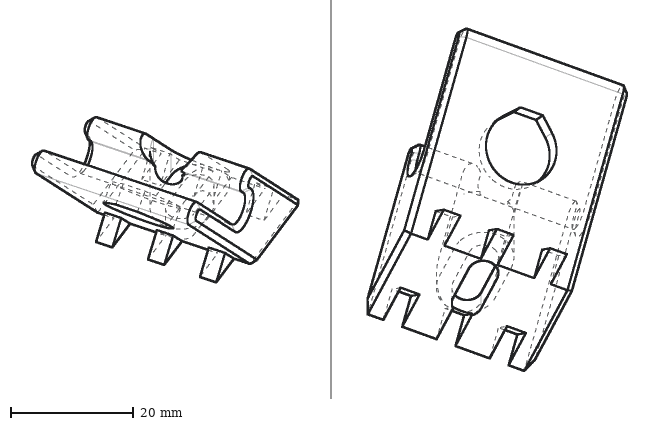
import cadquery as cq
import math

WIDTH = 30.0
LENGTH = 40.5
HEIGHT = 30.0
LEAN = 50.0
EDGE_CHAMFER = 1.0

END_RADIUS = 2.0
CHANNEL_RADIUS = 2.75
CHANNEL_END = 26.5
LIP_STRAIGHT = 1.25

FOOT_SPACING = 9.5
FOOT_WIDTH = 3.0
FOOT_BASE = 6.52
SOCKET_WIDTH = 3.35
SOCKET_BASE = 7.05

SLOT_WIDTH = 5.02
SLOT_TRAVEL = 6.5
SLOT_FROM_BACK = 11.83
RECESS_WIDTH = 10.1
RECESS_FLOOR = 4.58

POCKET_RADIUS = 6.08
POCKET_ROOF = 6.6
POCKET_DEPTH = 3.6
POCKET_HEIGHT = 15.47

BACK = LENGTH / 2
COS = math.cos(math.radians(LEAN))
SIN = math.sin(math.radians(LEAN))
TAN = SIN / COS

tip_y = LENGTH - END_RADIUS
tip_z = HEIGHT - END_RADIUS
arm_end = tip_y * COS + tip_z * SIN
thickness = tip_y * SIN - tip_z * COS + END_RADIUS
arm_inner = thickness - 2 * END_RADIUS
lip_inner = arm_inner - 2 * CHANNEL_RADIUS
lip_radius = lip_inner / 2
base_length = thickness / SIN

lip_end = CHANNEL_END + LIP_STRAIGHT


def lean_point(along, across):
    """(y, z) of a point along the lean and across from the back face."""
    from_back = along * COS + across * SIN
    return (BACK - from_back, along * SIN - across * COS)


def side_sketch(x):
    """Workplane in (y, z) at the given x, extruding towards +X."""
    return cq.Workplane("YZ", origin=(x, 0, 0))


def make_body():
    profile = (
        side_sketch(-WIDTH / 2)
        .moveTo(BACK, 0)
        .lineTo(*lean_point(lip_end, 0))
        .threePointArc(lean_point(lip_end + lip_radius, lip_radius), lean_point(lip_end, lip_inner))
        .lineTo(*lean_point(CHANNEL_END, lip_inner))
        .threePointArc(
            lean_point(CHANNEL_END - CHANNEL_RADIUS, lip_inner + CHANNEL_RADIUS),
            lean_point(CHANNEL_END, arm_inner),
        )
        .lineTo(*lean_point(arm_end, arm_inner))
        .threePointArc(
            lean_point(arm_end + END_RADIUS, thickness - END_RADIUS),
            lean_point(arm_end, thickness),
        )
        .lineTo(BACK - base_length, 0)
        .close()
    )
    return profile.extrude(WIDTH).faces("<X or >X").chamfer(EDGE_CHAMFER)


def make_wedges(start_y, base, width):
    """Three isosceles wedges on the ground, running from start_y towards -Y."""
    wedges = cq.Workplane()
    for step in (-1, 0, 1):
        wedge = (
            side_sketch(step * FOOT_SPACING - width / 2)
            .moveTo(start_y, 0)
            .lineTo(start_y - base / 2, base / 2 * TAN)
            .lineTo(start_y - base, 0)
            .close()
            .extrude(width)
        )
        wedges = wedges.add(wedge)
    return wedges.combine()


def make_screw_slot():
    slot_y = BACK - SLOT_FROM_BACK
    through = (
        cq.Workplane()
        .center(0, slot_y)
        .slot2D(SLOT_TRAVEL + SLOT_WIDTH, SLOT_WIDTH, 90)
        .extrude(HEIGHT)
    )
    recess = (
        cq.Workplane(origin=(0, 0, RECESS_FLOOR))
        .center(0, slot_y)
        .slot2D(SLOT_TRAVEL + RECESS_WIDTH, RECESS_WIDTH, 90)
        .extrude(HEIGHT)
    )
    return through.union(recess)


def make_lip_trough():
    """Round trough along the back face, carrying the recess's front end out through the lip."""
    from_back = SLOT_FROM_BACK + SLOT_TRAVEL / 2
    start = (0, BACK - from_back, from_back * TAN)
    along_lean = cq.Plane(origin=start, xDir=(1, 0, 0), normal=(0, -COS, SIN))
    return cq.Workplane(along_lean).circle(RECESS_WIDTH / 2).extrude(HEIGHT)


def make_pocket():
    centre_y = BACK - base_length - POCKET_HEIGHT / TAN
    face = cq.Plane(origin=(0, centre_y, POCKET_HEIGHT), xDir=(1, 0, 0), normal=(0, -SIN, -COS))
    tangent = POCKET_RADIUS / math.sqrt(2)
    roof_half = POCKET_RADIUS * math.sqrt(2) - POCKET_ROOF
    return (
        cq.Workplane(face)
        .moveTo(-tangent, tangent)
        .threePointArc((0, -POCKET_RADIUS), (tangent, tangent))
        .lineTo(roof_half, POCKET_ROOF)
        .lineTo(-roof_half, POCKET_ROOF)
        .close()
        .extrude(-POCKET_DEPTH)
    )


body = make_body()
sockets = make_wedges(BACK, SOCKET_BASE, SOCKET_WIDTH)
feet = make_wedges(BACK - base_length, FOOT_BASE, FOOT_WIDTH)
body = body.cut(sockets).cut(make_screw_slot()).cut(make_lip_trough()).cut(make_pocket())
result = body.union(feet)